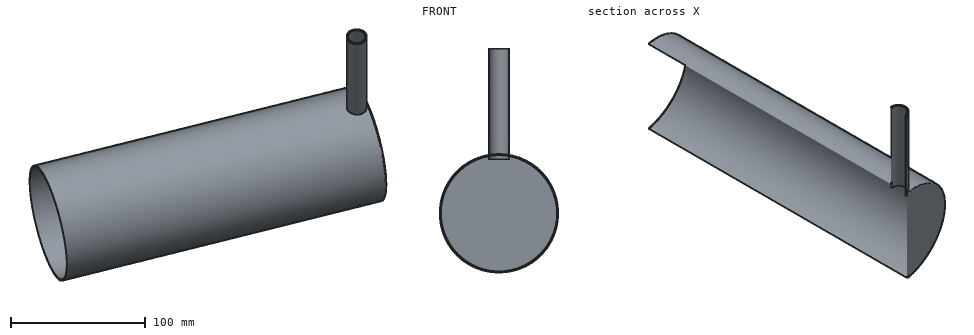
import cadquery as cq

housing_length = 250
housing_diameter = 88.0
housing_wall = 1.0
closed_edge_radius = 1.2

pipe_diameter = 15
pipe_wall = 1.2
pipe_rise = 78.0
pipe_insertion = 4.0
pipe_to_closed_end = 9.0

housing_radius = housing_diameter / 2
pipe_length = pipe_rise + pipe_insertion
pipe_bottom = housing_radius - pipe_insertion
pipe_y = housing_length - pipe_to_closed_end


def pipe_cylinder(diameter):
    """Upright cylinder on the pipe axis, over the full length of the pipe."""
    base = cq.Workplane("XY", origin=(0, pipe_y, pipe_bottom))
    return base.circle(diameter / 2).extrude(pipe_length)


def make_housing():
    """Thin cup with a rounded closed end and a hole that fits the pipe."""
    body = cq.Workplane("XZ").circle(housing_radius).extrude(-housing_length)
    body = body.faces(">Y").edges().fillet(closed_edge_radius)
    inner_radius = housing_radius - housing_wall
    inner_depth = housing_length - housing_wall
    cavity = cq.Workplane("XZ").circle(inner_radius).extrude(-inner_depth)
    return body.cut(cavity).cut(pipe_cylinder(pipe_diameter))


def make_pipe():
    """Tube open at both ends."""
    bore_diameter = pipe_diameter - 2 * pipe_wall
    return pipe_cylinder(pipe_diameter).cut(pipe_cylinder(bore_diameter))


housing = make_housing()
pipe = make_pipe()

result = cq.Compound.makeCompound([housing.val(), pipe.val()])